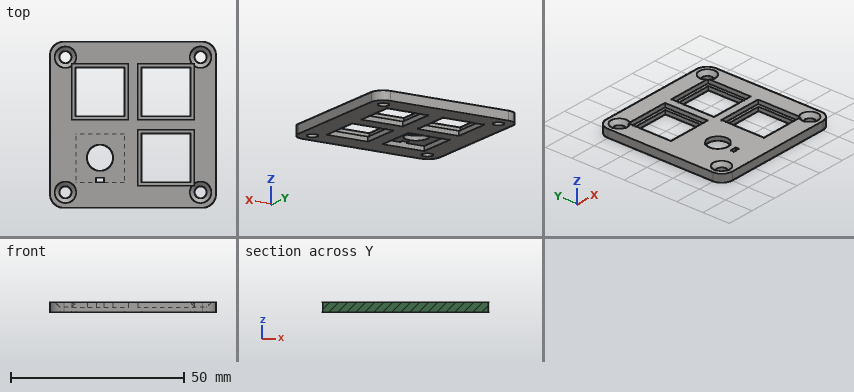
import cadquery as cq

PLATE_SIDE = 48.0
PLATE_THICKNESS = 3.0
CORNER_RADIUS = 4.0

KEY_PITCH = 19.05
WINDOW_SIDE = 14.0
RECESS_SIDE = 16.2
RECESS_DEPTH = 1.5

ROUND_HOLE_DIAMETER = 7.5
POCKET_SIDE = WINDOW_SIDE
POCKET_DEPTH = 1.5
SLOT_LENGTH = 2.2
SLOT_WIDTH = 1.2
SLOT_OFFSET = (POCKET_SIDE - SLOT_WIDTH) / 2

SCREW_SPACING = 39.0
SCREW_DIAMETER = 3.4
COUNTERSINK_DIAMETER = 6.2
COUNTERSINK_ANGLE = 90.0

HALF_PITCH = KEY_PITCH / 2
KEY_CENTERS = [
    (-HALF_PITCH, HALF_PITCH),
    (HALF_PITCH, HALF_PITCH),
    (HALF_PITCH, -HALF_PITCH),
]
ROUND_HOLE_CENTER = (-HALF_PITCH, -HALF_PITCH)
SLOT_CENTER = (-HALF_PITCH, -HALF_PITCH - SLOT_OFFSET)


def top_plane(part):
    """Workplane on the top face, centred on the plate."""
    return part.faces(">Z").workplane(origin=(0, 0, PLATE_THICKNESS))


def make_plate():
    """Square plate with rounded corners, resting on Z = 0."""
    plate = cq.Workplane("XY").box(
        PLATE_SIDE, PLATE_SIDE, PLATE_THICKNESS, centered=(True, True, False)
    )
    return plate.edges("|Z").fillet(CORNER_RADIUS)


def cut_key_openings(part):
    """Through windows, each stepped out to a recess at the top."""
    part = top_plane(part).pushPoints(KEY_CENTERS).rect(WINDOW_SIDE, WINDOW_SIDE).cutThruAll()
    return top_plane(part).pushPoints(KEY_CENTERS).rect(RECESS_SIDE, RECESS_SIDE).cutBlind(-RECESS_DEPTH)


def cut_round_hole_and_slot(part):
    """Round through hole and the rectangular through slot next to it."""
    part = top_plane(part).pushPoints([ROUND_HOLE_CENTER]).hole(ROUND_HOLE_DIAMETER)
    return top_plane(part).pushPoints([SLOT_CENTER]).rect(SLOT_LENGTH, SLOT_WIDTH).cutThruAll()


def cut_underside_pocket(part):
    """Square pocket in the underside, centred on the round hole."""
    pocket = (
        cq.Workplane("XY")
        .center(*ROUND_HOLE_CENTER)
        .rect(POCKET_SIDE, POCKET_SIDE)
        .extrude(POCKET_DEPTH)
    )
    return part.cut(pocket)


def cut_screw_holes(part):
    """One countersunk through hole in each corner."""
    return (
        top_plane(part)
        .rect(SCREW_SPACING, SCREW_SPACING, forConstruction=True)
        .vertices()
        .cskHole(SCREW_DIAMETER, COUNTERSINK_DIAMETER, COUNTERSINK_ANGLE)
    )


result = make_plate()
result = cut_key_openings(result)
result = cut_round_hole_and_slot(result)
result = cut_underside_pocket(result)
result = cut_screw_holes(result)